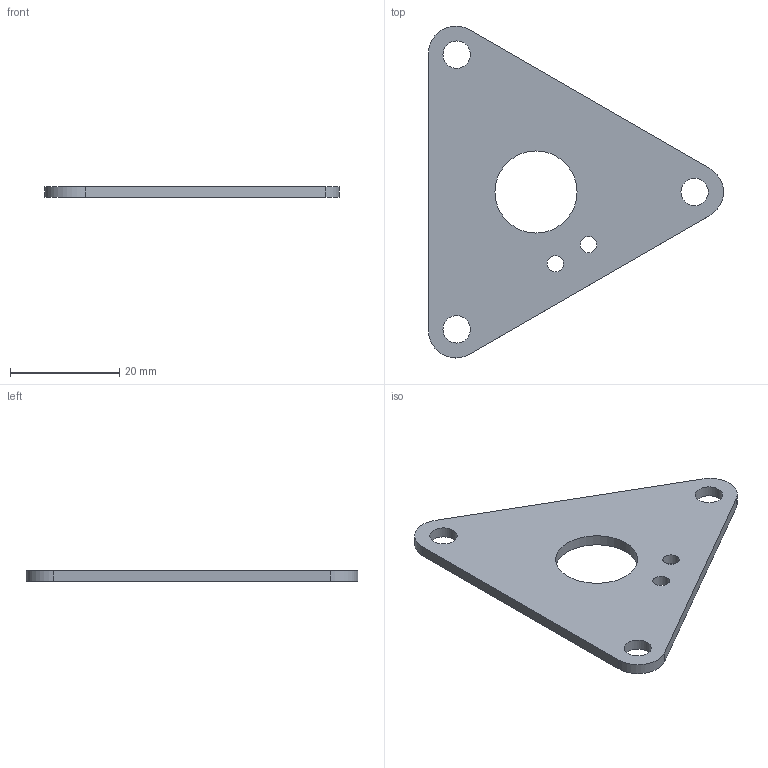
import cadquery as cq
import math

side_length = 68.0
corner_radius = 5.0
thickness = 2.0

centre_hole_diameter = 15.0
corner_hole_diameter = 5.0
corner_hole_circle_radius = 29.0
small_hole_diameter = 3.0
small_hole_spacing = 7.0
small_hole_edge_distance = 6.5
small_hole_edge_angle = -60.0

corner_count = 3
corner_angles = [i * 360.0 / corner_count for i in range(corner_count)]
circumradius = side_length / math.sqrt(3)
inradius = circumradius / 2


def polar_point(radius, angle):
    """Point at a distance from the plate centre, with the angle in degrees from +X."""
    return (radius * math.cos(math.radians(angle)), radius * math.sin(math.radians(angle)))


def make_plate():
    corners = [polar_point(circumradius, angle) for angle in corner_angles]
    plate = cq.Workplane("XY").polyline(corners).close().extrude(thickness)
    return plate.edges("|Z").fillet(corner_radius)


def make_hole_cutters(points, diameter):
    return cq.Workplane("XY").pushPoints(points).circle(diameter / 2).extrude(thickness)


def small_hole_points():
    """Two points on a line parallel to the edge, equally far from the middle of that edge."""
    radial_distance = inradius - small_hole_edge_distance
    half_spacing = small_hole_spacing / 2
    distance = math.hypot(radial_distance, half_spacing)
    offset_angle = math.degrees(math.atan2(half_spacing, radial_distance))
    return [polar_point(distance, small_hole_edge_angle + sign * offset_angle) for sign in (-1, 1)]


corner_hole_points = [polar_point(corner_hole_circle_radius, angle) for angle in corner_angles]

result = (
    make_plate()
    .cut(make_hole_cutters([(0, 0)], centre_hole_diameter))
    .cut(make_hole_cutters(corner_hole_points, corner_hole_diameter))
    .cut(make_hole_cutters(small_hole_points(), small_hole_diameter))
)